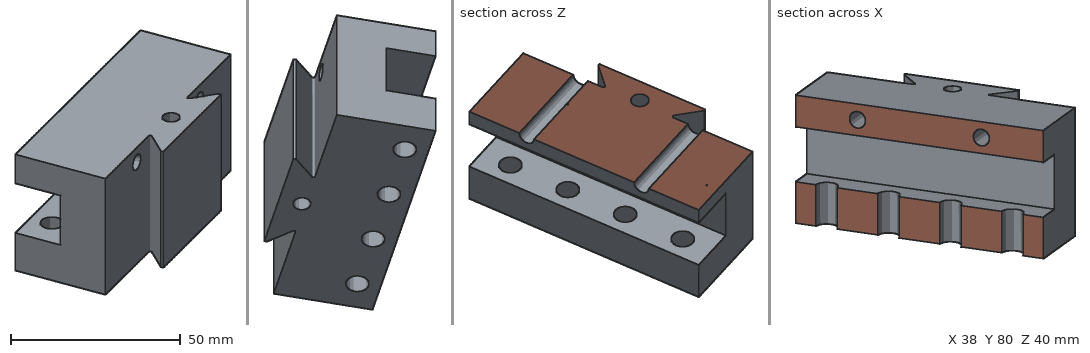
import cadquery as cq
import math

BODY_DEPTH = 30.0
LENGTH = 80.0
HEIGHT = 40.0

SLOT_DEPTH = 15.0
LOWER_JAW_HEIGHT = 13.0
UPPER_JAW_HEIGHT = 10.0

RAIL_DEPTH = 8.0
RAIL_WIDTH = 36.9
RAIL_EDGE_FLAT = 0.8
RAIL_ROOT_RADIUS = 0.5
RAIL_FLANK_ANGLE = math.radians(45)

RAIL_HOLE_DIAMETER = 5.2
RAIL_HOLE_X = 31.0

CROSS_HOLE_DIAMETER = 5.0
CROSS_HOLE_SPACING = 40.0

JAW_HOLE_DIAMETER = 6.8
JAW_HOLE_X = 7.0
JAW_HOLE_SPACING = 20.0
JAW_HOLE_COUNT = 4


def make_body():
    return cq.Workplane("XY").box(BODY_DEPTH, LENGTH, HEIGHT, centered=(False, True, False))


def make_slot():
    slot_height = HEIGHT - LOWER_JAW_HEIGHT - UPPER_JAW_HEIGHT
    return (
        cq.Workplane("XY")
        .workplane(offset=LOWER_JAW_HEIGHT)
        .box(SLOT_DEPTH, LENGTH, slot_height, centered=(False, True, False))
    )


def make_rail():
    """Dovetail prism with an internal radius where each flank meets the block."""
    tip_x = BODY_DEPTH + RAIL_DEPTH
    flank_end_x = tip_x - RAIL_EDGE_FLAT
    half_width = RAIL_WIDTH / 2

    radius = RAIL_ROOT_RADIUS
    center_x = BODY_DEPTH + radius
    flank_start_x = center_x + radius * math.sin(RAIL_FLANK_ANGLE)
    flank_start_y = half_width - (flank_end_x - flank_start_x) * math.tan(RAIL_FLANK_ANGLE)
    center_y = flank_start_y + radius * math.cos(RAIL_FLANK_ANGLE)
    half_sweep = (math.pi / 2 + RAIL_FLANK_ANGLE) / 2
    arc_mid_x = center_x - radius * math.cos(half_sweep)
    arc_mid_y = center_y - radius * math.sin(half_sweep)

    return (
        cq.Workplane("XY")
        .moveTo(BODY_DEPTH, -center_y)
        .threePointArc((arc_mid_x, -arc_mid_y), (flank_start_x, -flank_start_y))
        .lineTo(flank_end_x, -half_width)
        .lineTo(tip_x, -half_width)
        .lineTo(tip_x, half_width)
        .lineTo(flank_end_x, half_width)
        .lineTo(flank_start_x, flank_start_y)
        .threePointArc((arc_mid_x, arc_mid_y), (BODY_DEPTH, center_y))
        .close()
        .extrude(HEIGHT)
    )


def make_cross_holes():
    """Cylinders along X that end at the back face of the block."""
    hole_z = HEIGHT - UPPER_JAW_HEIGHT / 2
    return (
        cq.Workplane("YZ")
        .pushPoints([(side * CROSS_HOLE_SPACING / 2, hole_z) for side in (-1, 1)])
        .circle(CROSS_HOLE_DIAMETER / 2)
        .extrude(BODY_DEPTH)
    )


def make_jaw_holes():
    first_y = -JAW_HOLE_SPACING * (JAW_HOLE_COUNT - 1) / 2
    centers = [(JAW_HOLE_X, first_y + i * JAW_HOLE_SPACING) for i in range(JAW_HOLE_COUNT)]
    return (
        cq.Workplane("XY")
        .pushPoints(centers)
        .circle(JAW_HOLE_DIAMETER / 2)
        .extrude(LOWER_JAW_HEIGHT)
    )


def make_rail_hole():
    return (
        cq.Workplane("XY")
        .center(RAIL_HOLE_X, 0)
        .circle(RAIL_HOLE_DIAMETER / 2)
        .extrude(HEIGHT)
    )


block = make_body().cut(make_slot()).cut(make_cross_holes()).cut(make_jaw_holes())
result = block.union(make_rail()).cut(make_rail_hole())